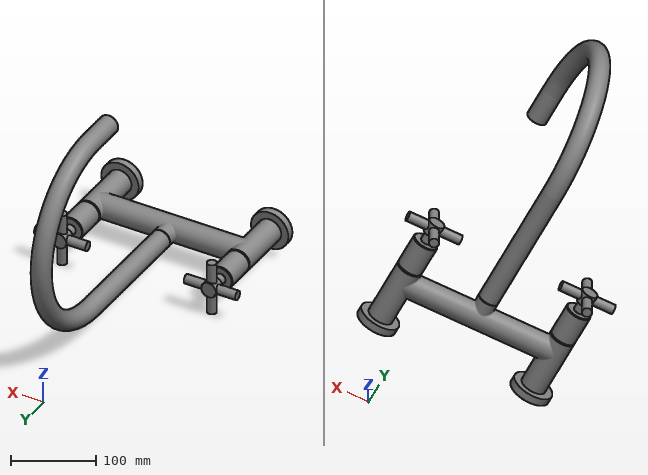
import cadquery as cq
tower_spacing = 203.2
tower_diameter = 31.75
tower_length = 124.9
tower_edge_chamfer = 1.0
flange_diameter = 50.8
flange_thickness = 10.0
groove_y = 84.4
groove_half_width = 1.0

bridge_y = 63.0
bridge_diameter = tower_diameter
socket_end_y = 89.35
junction_fillet = 2.0

stem_diameter = 13.5
hub_diameter = 20.0
hub_length = 15.4
arm_diameter = 12.0
arm_span = 69.85
handle_y = 145.4

spout_diameter = 25.4
spout_gap = 0.9
spout_height = 236.225
spout_tip_length = 40.5
overall_depth = 382.5

tower_radius = tower_diameter / 2
half_spacing = tower_spacing / 2
bend_radius = spout_height / 2
bend_start_y = overall_depth - spout_diameter / 2 - bend_radius


def rod_along_x(center, length, diameter):
    return cq.Workplane("YZ", origin=center).circle(diameter / 2).extrude(length / 2, both=True)


def rod_along_y(x, start_y, length, diameter):
    plane = cq.Plane(origin=(x, start_y, 0), xDir=(0, 0, 1), normal=(0, 1, 0))
    return cq.Workplane(plane).circle(diameter / 2).extrude(length)


def rod_along_z(center, length, diameter):
    return cq.Workplane("XY", origin=center).circle(diameter / 2).extrude(length / 2, both=True)


def make_bridge():
    """Three pipes and the spout socket, joined with filleted junctions."""
    bridge = rod_along_x((0, bridge_y, 0), tower_spacing, bridge_diameter)
    for x in (-half_spacing, half_spacing):
        post = rod_along_y(x, 0, tower_length, tower_diameter)
        bridge = bridge.union(post.faces(">Y").chamfer(tower_edge_chamfer))
    bridge = bridge.union(rod_along_y(0, bridge_y, socket_end_y - bridge_y, spout_diameter))
    return bridge.edges("(not %CIRCLE) and (not %LINE)").fillet(junction_fillet)


def make_flange(x):
    return rod_along_y(x, 0, flange_thickness, flange_diameter)


def make_groove(x):
    """Ring that cuts a shallow V around a tower."""
    return (
        cq.Workplane("XY")
        .moveTo(x + tower_radius - groove_half_width, groove_y)
        .lineTo(x + tower_radius, groove_y - groove_half_width)
        .lineTo(x + tower_radius, groove_y + groove_half_width)
        .close()
        .revolve(360, (x, 0, 0), (x, 1, 0))
    )


def make_handle(x):
    """Stem and hub on the tower axis, with two crossed arms through the hub."""
    center = (x, handle_y, 0)
    stem = rod_along_y(x, tower_length, handle_y - hub_length / 2 - tower_length, stem_diameter)
    hub = rod_along_y(x, handle_y - hub_length / 2, hub_length, hub_diameter)
    cross_arm = rod_along_x(center, arm_span, arm_diameter)
    upright_arm = rod_along_z(center, arm_span, arm_diameter)
    return hub.union(cross_arm).union(upright_arm).union(stem)


def make_mixer():
    mixer = make_bridge()
    for x in (-half_spacing, half_spacing):
        mixer = mixer.union(make_flange(x)).union(make_handle(x)).cut(make_groove(x))
    return mixer


def make_spout():
    """Round bar: straight out of the socket, half-circle bend, short straight tip."""
    start_y = socket_end_y + spout_gap
    path = (
        cq.Workplane("YZ")
        .moveTo(start_y, 0)
        .lineTo(bend_start_y, 0)
        .threePointArc((bend_start_y + bend_radius, bend_radius), (bend_start_y, spout_height))
        .lineTo(bend_start_y - spout_tip_length, spout_height)
    )
    return cq.Workplane("XZ", origin=(0, start_y, 0)).circle(spout_diameter / 2).sweep(path)


mixer = make_mixer()
spout = make_spout()

result = cq.Compound.makeCompound([mixer.val(), spout.val()])